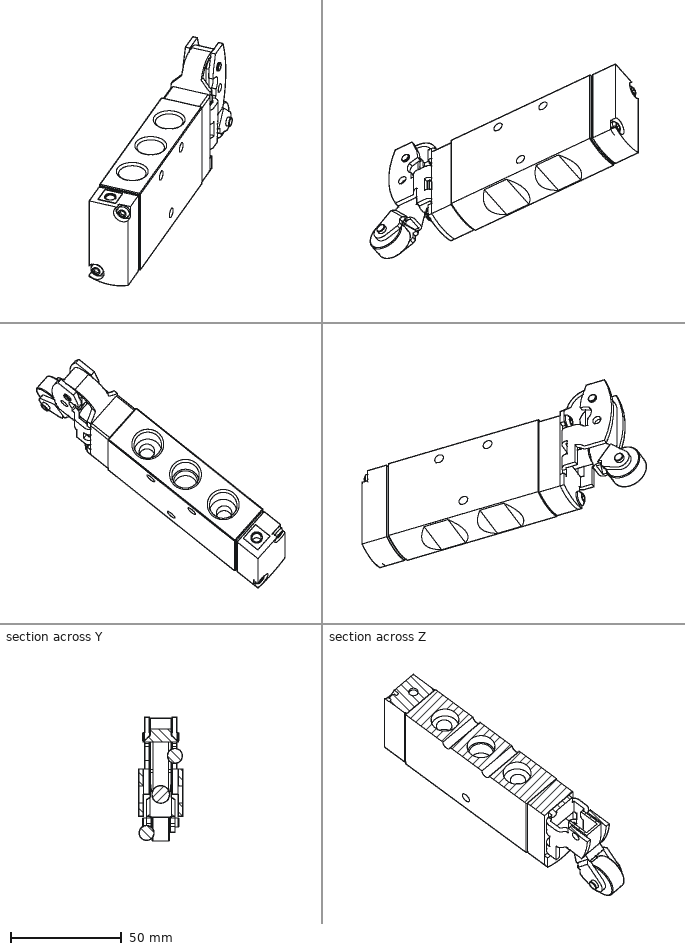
import cadquery as cq
import math


total_length = 136.1
body_width = 20.0
cap_width = 19
body_top = 43.8
cap_top = 43.4
belly_rise = 1.9
rear_cap_end = 12.4
joint_gap = 0.8
joint_gap_depth = 0.4
body_start = rear_cap_end + joint_gap
body_end = 88.6
body_middle = (body_start + body_end) / 2
cap_front_face = 99.1
edge_break = 0.4

port_pitch = 22.3
port_mouth_diameter = 14.4
port_throat_diameter = 12.4
port_mouth_depth = 1.1
port_depth = 10.9
port_passage_diameter = 7.0
port_passage_offset = 0.5
port_passage_depth = 6.8
middle_port_floor_diameter = 10.9

mounting_hole_diameter = 4.4
upper_mounting_pitch = 24.2
upper_mounting_height = 37.7
lower_mounting_height = 9.5

belly_recess_length = 12.0
belly_recess_ramp = 4.5
belly_recess_depth = 1.6
belly_recess_spacing = 27.9

screw_offset = 6.4
upper_screw_height = 40.1
lower_screw_height = 5.3
screw_places = [(screw_offset, upper_screw_height), (-screw_offset, lower_screw_height)]
screw_socket_size = 3.0
screw_socket_depth = 1.1
rear_counterbore_diameter = 8.0
rear_counterbore_depth = 2.7
rear_head_diameter = 6.0
rear_head_height = 2.2
rear_head_bevel = 1.1
front_head_diameter = 6.8
front_head_height = 2.0
front_head_bevel = 1.4

pilot_center = (-2.0, 7.1)
pilot_square = 8.6
pilot_square_depth = 0.3
pilot_hole_diameter = 4.1
pilot_mouth_diameter = 5.2
pilot_mouth_depth = 0.5
pilot_hole_depth = 6.8

front_cap_bevel = 1.0
plunger_diameter = 8.0
plunger_height = 22.7
plunger_end = 110.5

sheet_thickness = 2.2
plate_shoulder_height = 44.8
strip_neck_height = 49.7
strip_width = 9.5
strip_thickness = 2.0
plate_front_face = cap_front_face + strip_thickness
strip_top = 57.3
strip_bend_radius = 10.5
strip_bend_y = 110.2
strip_bend_z = strip_top - strip_bend_radius
strip_flat_length = 1.6
strip_end = 112.3

side_wall_bottom = 12.8
side_wall_top = 34.3
side_wall_end = 106.8
side_bend_radius = 3.1
wall_outside = body_width / 2
cheek_outside = 7.3
cheek_inside = cheek_outside - sheet_thickness
cheek_bottom = 22.7
cheek_top = 57.7
cheek_end_front = 120.2
cheek_bow_front = 123.7
cheek_top_rear = 111.0
cheek_rear_knee = (108.5, 50.1)
cheek_rear_tip = (108.0, 45.9)
notch_top = (112.4, 44.5)
notch_floor = (113.6, 41.5)
notch_bottom = (111.7, 38.1)
jog_end = 110.9
bend_relief_height = 4.1
side_slot_height = 7.6
side_slot_end = 102.7

pivot_pin_place = (114.3, 48.7)
cheek_hole_place = (116.4, 35.7)
pin_diameter = 4.0
pin_length = 16.3
pin_bevel = 0.3

lever_width = 9.5
lever_sheet = 1.4
lever_heel_radius = 2.5
lever_top_radius = 8.6
lever_front = strip_end + lever_top_radius
lever_bend_z = strip_top - lever_top_radius
lever_web_bottom = 30
lever_knee = (120.0, 22.9)
lever_heel = (112.7, 12.4)
lever_heel_top = (110.9, 20.4)
lever_heel_thickness = 2.0
lever_step_bottom = 32.7
lever_rear = 109.4
lever_step_top = 34
lever_shoulder = 49.7
lever_crown = 52.4
fork_upper = (122.6, 20.5)
fork_lower = (116.5, 12.8)
fork_lower_corners = [(118.3, 12.1), (118.3, 9.5), (119.5, 8.3)]
fork_overlap = (-1.0, 0.8)
fork_inside = 4.4
fork_outside = 6.5
fork_eye_radius = 4.5
fork_bevel = 1.6

roller_diameter = 17.0
roller_width = 8.0
roller_bevel = 0.4
roller_y = total_length - roller_diameter / 2
roller_z = 10.1
roller_pin_diameter = 4.2


def valve_section(width, top, bottom=0):
    """Cross-section in XZ with straight sides, a flat top and an arched belly."""
    half = width / 2
    return (
        cq.Workplane("XZ")
        .moveTo(-half, belly_rise)
        .lineTo(-half, top)
        .lineTo(half, top)
        .lineTo(half, belly_rise)
        .threePointArc((0, bottom), (-half, belly_rise))
        .close()
    )


def valve_block(width, top, start, end):
    """Length of valve section between two Y positions."""
    return valve_section(width, top).extrude(-(end - start)).translate((0, start, 0))


def rod_along_x(place, diameter, length):
    """Cylinder along X, centred on X = 0, at a (Y, Z) place."""
    plane = cq.Workplane("YZ", origin=(-length / 2, 0, 0))
    return plane.center(*place).circle(diameter / 2).extrude(length)


def pin_along_x(place, diameter):
    """Pin along X with bevelled ends."""
    return rod_along_x(place, diameter, pin_length).edges().chamfer(pin_bevel)


def rod_along_y(x, z, diameter, start, end):
    """Cylinder along Y between two Y positions."""
    rod = cq.Workplane("XZ").center(x, z).circle(diameter / 2).extrude(-(end - start))
    return rod.translate((0, start, 0))


def mirrored(half):
    """A shape together with its mirror image across X = 0."""
    return half.union(half.mirror("YZ"))


def screw_head(diameter, height, bevel):
    """Bevelled screw head with a hexagon socket, standing on Y = 0 and pointing to +Y."""
    head = cq.Workplane("XZ").circle(diameter / 2).extrude(-height).faces(">Y").chamfer(bevel)
    socket = cq.Workplane("XZ").polygon(6, screw_socket_size).extrude(-screw_socket_depth)
    return head.cut(socket.translate((0, height - screw_socket_depth, 0)))


def make_port(y, passage_shift):
    """Port cutter with a bevelled mouth; passage_shift is the Y offset of the passage in its floor."""
    port = cq.Workplane("XY", origin=(0, y, body_top)).circle(port_throat_diameter / 2).extrude(-port_depth)
    mouth = (
        cq.Workplane("XY", origin=(0, y, body_top))
        .circle(port_mouth_diameter / 2)
        .workplane(offset=-port_mouth_depth)
        .circle(port_throat_diameter / 2)
        .loft()
    )
    passage_diameter = port_passage_diameter if passage_shift else middle_port_floor_diameter
    passage = (
        cq.Workplane("XY", origin=(0, y + passage_shift, body_top - port_depth))
        .circle(passage_diameter / 2)
        .extrude(-port_passage_depth)
    )
    return port.union(mouth).union(passage)


def make_belly_recess(y):
    """Trapezoidal cutter that flattens the belly over a stretch centred at y."""
    half_floor = belly_recess_length / 2
    half_mouth = half_floor + belly_recess_ramp
    return (
        cq.Workplane("YZ", origin=(-body_width / 2, 0, 0))
        .polyline([
            (y - half_mouth, 0),
            (y - half_floor, belly_recess_depth),
            (y + half_floor, belly_recess_depth),
            (y + half_mouth, 0),
        ])
        .close()
        .extrude(body_width)
    )


def make_valve_body():
    body = valve_block(body_width, body_top, body_start, body_end)
    body = body.faces("<Y or >Y or >Z").edges().chamfer(edge_break)
    for side in (-1, 0, 1):
        body = body.cut(make_port(body_middle + side * port_pitch, side * port_passage_offset))
    mounting_places = [
        (body_middle - upper_mounting_pitch / 2, upper_mounting_height),
        (body_middle + upper_mounting_pitch / 2, upper_mounting_height),
        (body_middle, lower_mounting_height),
    ]
    for place in mounting_places:
        body = body.cut(rod_along_x(place, mounting_hole_diameter, body_width))
    for side in (-1, 1):
        body = body.cut(make_belly_recess(body_middle + side * belly_recess_spacing / 2))
    return body


def make_rear_cap():
    cap = valve_block(cap_width, cap_top, 0, rear_cap_end)
    neck_width = cap_width - 2 * joint_gap_depth
    neck = valve_section(neck_width, cap_top - joint_gap_depth, joint_gap_depth).extrude(-joint_gap)
    cap = cap.union(neck.translate((0, rear_cap_end, 0)))
    pilot = cq.Workplane("XY", origin=(*pilot_center, cap_top))
    cap = cap.cut(pilot.rect(pilot_square, pilot_square).extrude(-pilot_square_depth))
    cap = cap.cut(pilot.circle(pilot_mouth_diameter / 2).extrude(-pilot_square_depth - pilot_mouth_depth))
    cap = cap.cut(pilot.circle(pilot_hole_diameter / 2).extrude(-pilot_hole_depth))
    head = screw_head(rear_head_diameter, rear_head_height, rear_head_bevel).mirror("XZ")
    for x, z in screw_places:
        cap = cap.cut(rod_along_y(x, z, rear_counterbore_diameter, 0, rear_counterbore_depth))
        if z == upper_screw_height:
            corner = cq.Workplane("XY").box(cap_width, rear_counterbore_depth, cap_top, centered=False)
            cap = cap.cut(corner.translate((x, 0, z)))
        cap = cap.union(head.translate((x, rear_counterbore_depth, z)))
    return cap


def make_front_cap():
    cap = valve_block(cap_width, cap_top, body_end, cap_front_face)
    cap = cap.faces(">Z").edges("|Y").chamfer(front_cap_bevel)
    return cap.union(rod_along_y(0, plunger_height, plunger_diameter, cap_front_face, plunger_end))


def make_base_plate():
    """Plate on the front cap, tapering at its top to the width of the strip."""
    half = cap_width / 2
    half_strip = strip_width / 2
    return (
        cq.Workplane("XZ")
        .moveTo(-half, belly_rise)
        .lineTo(-half, plate_shoulder_height)
        .lineTo(-half_strip, strip_neck_height)
        .lineTo(half_strip, strip_neck_height)
        .lineTo(half, plate_shoulder_height)
        .lineTo(half, belly_rise)
        .threePointArc((0, 0), (-half, belly_rise))
        .close()
        .extrude(-total_length)
    )


def bend_point(center, radius, angle):
    """Point on a bend in YZ; the angle rises from the -Y direction towards +Z."""
    return (center[0] - radius * math.cos(angle), center[1] + radius * math.sin(angle))


def make_plate_and_strip():
    """Plate and the strip bending over from its top: a side profile trimmed to the plate outline."""
    inner_radius = strip_bend_radius - strip_thickness
    bend_center = (strip_bend_y, strip_bend_z)
    bend_end = math.asin((strip_neck_height - strip_bend_z) / strip_bend_radius)
    bend_middle = (bend_end + math.pi / 2) / 2
    outer_bend_end = bend_point(bend_center, strip_bend_radius, bend_end)

    flat_end_y = outer_bend_end[0] - strip_flat_length * math.sin(bend_end)
    flat_end_z = outer_bend_end[1] - strip_flat_length * math.cos(bend_end)
    gentle_radius = (flat_end_y - cap_front_face) / (1 - math.cos(bend_end))
    gentle_inner_radius = gentle_radius - strip_thickness
    gentle_center = (cap_front_face + gentle_radius, flat_end_z - gentle_radius * math.sin(bend_end))

    profile = (
        cq.Workplane("YZ", origin=(-cap_width / 2, 0, 0))
        .moveTo(cap_front_face, 0)
        .lineTo(*bend_point(gentle_center, gentle_radius, 0))
        .threePointArc(
            bend_point(gentle_center, gentle_radius, bend_end / 2),
            bend_point(gentle_center, gentle_radius, bend_end),
        )
        .lineTo(*outer_bend_end)
        .threePointArc(
            bend_point(bend_center, strip_bend_radius, bend_middle),
            (strip_bend_y, strip_top),
        )
        .lineTo(strip_end, strip_top)
        .lineTo(strip_end, strip_top - strip_thickness)
        .lineTo(strip_bend_y, strip_top - strip_thickness)
        .threePointArc(
            bend_point(bend_center, inner_radius, bend_middle),
            bend_point(bend_center, inner_radius, bend_end),
        )
        .lineTo(*bend_point(gentle_center, gentle_inner_radius, bend_end))
        .threePointArc(
            bend_point(gentle_center, gentle_inner_radius, bend_end / 2),
            bend_point(gentle_center, gentle_inner_radius, 0),
        )
        .lineTo(plate_front_face, 0)
        .close()
        .extrude(cap_width)
    )
    strip_zone = cq.Workplane("XY").box(
        strip_width, total_length, strip_top - plate_shoulder_height, centered=(True, False, False)
    ).translate((0, 0, plate_shoulder_height))
    return profile.intersect(make_base_plate().union(strip_zone))


def make_plate_relief():
    """Cutter at +X that clears the base plate around the bend of the side wall."""
    bottom = side_wall_bottom - bend_relief_height
    height = side_wall_top + bend_relief_height - bottom
    relief = cq.Workplane("XY").box(side_bend_radius, strip_thickness, height, centered=False)
    return relief.translate((wall_outside - side_bend_radius, cap_front_face, bottom))


def make_side_wall():
    """Wall at +X, rounded where it turns in to the base plate."""
    return (
        cq.Workplane("XY", origin=(0, 0, side_wall_bottom))
        .moveTo(wall_outside - side_bend_radius, cap_front_face)
        .radiusArc((wall_outside, cap_front_face + side_bend_radius), -side_bend_radius)
        .lineTo(wall_outside, side_wall_end)
        .lineTo(wall_outside - sheet_thickness, side_wall_end)
        .lineTo(wall_outside - sheet_thickness, plate_front_face)
        .lineTo(wall_outside - side_bend_radius, plate_front_face)
        .close()
        .extrude(side_wall_top - side_wall_bottom)
    )


def make_jog():
    """S-bend at +X that joins the side wall to the narrower cheek: two arcs tangent to each other."""
    shift = wall_outside - cheek_outside
    length = jog_end - side_wall_end
    radius_sum = (shift ** 2 + length ** 2) / (2 * shift)
    cheek_radius = radius_sum - side_bend_radius
    wall_center_x = wall_outside - side_bend_radius
    cheek_center_x = cheek_outside + cheek_radius
    inflection_angle = math.asin(length / radius_sum)

    def wall_arc_point(radius, angle):
        return (wall_center_x + radius * math.cos(angle), side_wall_end + radius * math.sin(angle))

    def cheek_arc_point(radius, angle):
        return (cheek_center_x - radius * math.cos(angle), jog_end - radius * math.sin(angle))

    wall_inner_radius = side_bend_radius - sheet_thickness
    cheek_outer_radius = cheek_radius + sheet_thickness
    half_angle = inflection_angle / 2
    return (
        cq.Workplane("XY", origin=(0, 0, cheek_bottom))
        .moveTo(*wall_arc_point(side_bend_radius, 0))
        .threePointArc(
            wall_arc_point(side_bend_radius, half_angle),
            wall_arc_point(side_bend_radius, inflection_angle),
        )
        .threePointArc(cheek_arc_point(cheek_radius, half_angle), cheek_arc_point(cheek_radius, 0))
        .lineTo(*cheek_arc_point(cheek_outer_radius, 0))
        .threePointArc(
            cheek_arc_point(cheek_outer_radius, half_angle),
            cheek_arc_point(cheek_outer_radius, inflection_angle),
        )
        .threePointArc(
            wall_arc_point(wall_inner_radius, half_angle),
            wall_arc_point(wall_inner_radius, 0),
        )
        .close()
        .extrude(side_wall_top - cheek_bottom)
    )


def make_cheek():
    """Cheek plate at +X with a bowed front edge and a rounded notch in its rear edge."""
    return (
        cq.Workplane("YZ", origin=(cheek_inside, 0, 0))
        .moveTo(cheek_end_front, cheek_bottom)
        .threePointArc((cheek_bow_front, (cheek_bottom + cheek_top) / 2), (cheek_end_front, cheek_top))
        .lineTo(cheek_top_rear, cheek_top)
        .lineTo(*cheek_rear_knee)
        .lineTo(*cheek_rear_tip)
        .lineTo(*notch_top)
        .threePointArc(notch_floor, notch_bottom)
        .lineTo(notch_bottom[0], side_wall_top)
        .lineTo(jog_end, side_wall_top)
        .lineTo(jog_end, cheek_bottom)
        .close()
        .extrude(sheet_thickness)
    )


def make_bracket():
    bracket = make_plate_and_strip().cut(mirrored(make_plate_relief()))
    bracket = bracket.union(mirrored(make_side_wall().union(make_jog()).union(make_cheek())))
    bracket = bracket.cut(rod_along_y(0, plunger_height, plunger_diameter, 0, total_length))
    slot = cq.Workplane("XY").box(
        body_width, side_slot_end - cap_front_face, side_slot_height, centered=(True, False, True)
    ).translate((0, cap_front_face, plunger_height))
    bracket = bracket.cut(slot)
    bracket = bracket.cut(rod_along_x(cheek_hole_place, pin_diameter, pin_length))
    bracket = bracket.union(pin_along_x(pivot_pin_place, pin_diameter))
    head = screw_head(front_head_diameter, front_head_height, front_head_bevel)
    for x, z in screw_places:
        bracket = bracket.union(head.translate((x, plate_front_face, z)))
    return bracket


def middle_of(first, second):
    """Point halfway between two points."""
    return ((first[0] + second[0]) / 2, (first[1] + second[1]) / 2)


def make_lever_channel():
    slant = math.sqrt(0.5)
    outside = (
        cq.Workplane("YZ", origin=(-lever_width / 2, 0, 0))
        .moveTo(strip_end, strip_top)
        .threePointArc(
            (strip_end + slant * lever_top_radius, lever_bend_z + slant * lever_top_radius),
            (lever_front, lever_bend_z),
        )
        .lineTo(lever_front, lever_web_bottom)
        .lineTo(*lever_knee)
        .lineTo(*fork_upper)
        .lineTo(*fork_lower)
        .lineTo(*lever_heel)
        .lineTo(*lever_heel_top)
        .lineTo(lever_heel_top[0], lever_step_bottom)
        .lineTo(lever_rear, lever_step_top)
        .lineTo(lever_rear, lever_shoulder)
        .lineTo(strip_end, lever_crown)
        .close()
        .extrude(lever_width)
    )
    for side in (-1, 1):
        heel_middle = middle_of(lever_heel, lever_heel_top)
        heel_edge = cq.NearestToPointSelector((side * lever_width / 2, *heel_middle))
        outside = outside.edges(heel_edge).fillet(lever_heel_radius)
    inner_radius = lever_top_radius - lever_sheet
    cavity_width = lever_width - 2 * lever_sheet
    cavity_rear = lever_rear - lever_sheet
    cavity = (
        cq.Workplane("YZ", origin=(-cavity_width / 2, 0, 0))
        .moveTo(cavity_rear, strip_top - lever_sheet)
        .lineTo(strip_end, strip_top - lever_sheet)
        .threePointArc(
            (strip_end + slant * inner_radius, lever_bend_z + slant * inner_radius),
            (lever_front - lever_sheet, lever_bend_z),
        )
        .lineTo(lever_front - lever_sheet, lever_web_bottom)
        .lineTo(lever_knee[0] - lever_sheet, lever_knee[1])
        .lineTo(fork_upper[0] - lever_sheet, fork_upper[1])
        .lineTo(fork_upper[0] - lever_sheet, lever_heel[1] - lever_sheet)
        .lineTo(lever_heel[0] + lever_heel_thickness, lever_heel[1] - lever_sheet)
        .lineTo(lever_heel_top[0] + lever_heel_thickness, lever_heel_top[1])
        .lineTo(cavity_rear, lever_heel_top[1])
        .close()
        .extrude(cavity_width)
    )
    return outside.cut(cavity)


def eye_tangent_point(point, side):
    """Point where the tangent from an outside point touches the fork eye; side picks one of the two."""
    dy = point[0] - roller_y
    dz = point[1] - roller_z
    angle = math.atan2(dz, dy) + side * math.acos(fork_eye_radius / math.hypot(dy, dz))
    return (roller_y + fork_eye_radius * math.cos(angle), roller_z + fork_eye_radius * math.sin(angle))


def make_fork_arm():
    """Arm at +X from the lever to the eye around the roller pin."""
    rear_upper = (fork_upper[0] + fork_overlap[0], fork_upper[1] + fork_overlap[1])
    rear_lower = (fork_lower[0] + fork_overlap[0], fork_lower[1] + fork_overlap[1])
    arm = (
        cq.Workplane("YZ", origin=(fork_inside, 0, 0))
        .polyline([fork_upper, rear_upper, rear_lower, fork_lower, *fork_lower_corners])
        .lineTo(*eye_tangent_point(fork_lower_corners[-1], 1))
        .threePointArc(
            (roller_y + fork_eye_radius, roller_z),
            eye_tangent_point(fork_upper, -1),
        )
        .close()
        .extrude(fork_outside - fork_inside)
    )
    rear_edge = cq.NearestToPointSelector((fork_outside, *middle_of(rear_upper, rear_lower)))
    return arm.edges(rear_edge).chamfer(fork_bevel)


def make_lever():
    lever = make_lever_channel().cut(rod_along_x(pivot_pin_place, pin_diameter, pin_length))
    lever = lever.union(mirrored(make_fork_arm()))
    return lever.union(pin_along_x((roller_y, roller_z), roller_pin_diameter))


def make_roller():
    roller = rod_along_x((roller_y, roller_z), roller_diameter, roller_width).edges().chamfer(roller_bevel)
    return roller.cut(rod_along_x((roller_y, roller_z), roller_pin_diameter, pin_length))


valve_body = make_valve_body()
rear_cap = make_rear_cap()
front_cap = make_front_cap()
bracket = make_bracket()
lever = make_lever()
roller = make_roller()

result = cq.Compound.makeCompound([
    valve_body.val(),
    rear_cap.val(),
    front_cap.val(),
    bracket.val(),
    lever.val(),
    roller.val(),
])